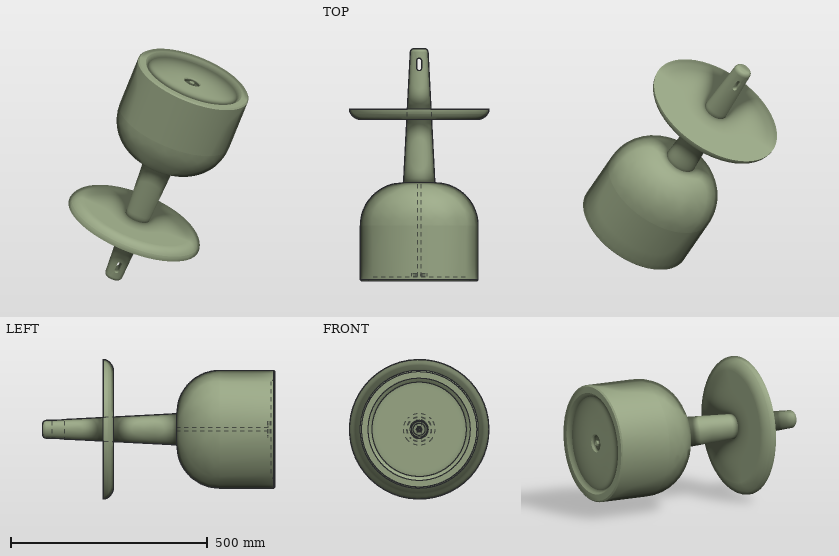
import cadquery as cq
import math

TOTAL_LENGTH = 591.0

BELL_RADIUS = 150.0
BELL_LENGTH = 250.0
BELL_SHOULDER_RADIUS = 110.0
BELL_RIM_CHAMFER = 3.5
RECESS_MOUTH_RADIUS = 130.0
RECESS_DEPTH = 10.0
POCKET_RADIUS = 20.0
POCKET_CHAMFER = 3.0
POCKET_DEPTH = 9.5

HANDLE_ROOT_RADIUS = BELL_RADIUS - BELL_SHOULDER_RADIUS
HANDLE_TIP_RADIUS = 22.5
HANDLE_TIP_FILLET = 10.0
SLOT_WIDTH = 12.0
SLOT_LENGTH = 31.5
SLOT_FROM_TIP = 40.0
STUD_RADIUS = 4.0
STUD_END_CHAMFER = 1.5

DISC_FRONT = 410.0
DISC_THICKNESS = 26.5
DISC_DIAMETER = 355.0
DISC_FACE_RADIUS = 146.0
DISC_SEAM_RADIUS = 174.0
DISC_SEAM_HEIGHT = 14.0

WASHER_RADIUS = 15.5
WASHER_THICKNESS = 2.0
NUT_ACROSS_FLATS = 13.0
NUT_HEIGHT = 7.0
NUT_CORNER_CHAMFER = 1.5

RECESS_FLOOR = RECESS_DEPTH
POCKET_FLOOR = RECESS_FLOOR + POCKET_DEPTH
WASHER_FACE = POCKET_FLOOR - WASHER_THICKNESS
NUT_FACE = WASHER_FACE - NUT_HEIGHT


def revolve_about_y(profile):
    return profile.close().revolve(360, (0, 0, 0), (0, 1, 0))


def cylinder_along_y(radius, start, end):
    """Cylinder on the Y axis between two Y positions."""
    return cq.Workplane("XZ", origin=(0, start, 0)).circle(radius).extrude(start - end)


def handle_cone():
    """Tapered handle from the bell to its sharp-edged tip."""
    return revolve_about_y(
        cq.Workplane("XY")
        .moveTo(0, BELL_LENGTH)
        .lineTo(HANDLE_ROOT_RADIUS, BELL_LENGTH)
        .lineTo(HANDLE_TIP_RADIUS, TOTAL_LENGTH)
        .lineTo(0, TOTAL_LENGTH)
    )


def make_bell():
    """Domed bell with a sloped recess, a fastener pocket and a stud hole."""
    shoulder_y = BELL_LENGTH - BELL_SHOULDER_RADIUS
    shoulder_offset = BELL_SHOULDER_RADIUS * math.sqrt(0.5)
    shoulder_middle = (HANDLE_ROOT_RADIUS + shoulder_offset, shoulder_y + shoulder_offset)
    return revolve_about_y(
        cq.Workplane("XY")
        .moveTo(STUD_RADIUS, BELL_LENGTH)
        .lineTo(HANDLE_ROOT_RADIUS, BELL_LENGTH)
        .threePointArc(shoulder_middle, (BELL_RADIUS, shoulder_y))
        .lineTo(BELL_RADIUS, BELL_RIM_CHAMFER)
        .lineTo(BELL_RADIUS - BELL_RIM_CHAMFER, 0)
        .lineTo(RECESS_MOUTH_RADIUS, 0)
        .lineTo(RECESS_MOUTH_RADIUS - RECESS_DEPTH, RECESS_FLOOR)
        .lineTo(POCKET_RADIUS + POCKET_CHAMFER, RECESS_FLOOR)
        .lineTo(POCKET_RADIUS, RECESS_FLOOR + POCKET_CHAMFER)
        .lineTo(POCKET_RADIUS, POCKET_FLOOR)
        .lineTo(STUD_RADIUS, POCKET_FLOOR)
    )


def make_handle():
    """Tapered handle with a rounded tip, a hanging slot and a stud through the bell."""
    handle = handle_cone().faces(">Y").edges().fillet(HANDLE_TIP_FILLET)
    slot = (
        cq.Workplane("XY")
        .center(0, TOTAL_LENGTH - SLOT_FROM_TIP)
        .slot2D(SLOT_LENGTH, SLOT_WIDTH, 90)
        .extrude(HANDLE_ROOT_RADIUS, both=True)
    )
    stud = cylinder_along_y(STUD_RADIUS, NUT_FACE, BELL_LENGTH).faces("<Y").edges().chamfer(STUD_END_CHAMFER)
    return handle.cut(slot).union(stud)


def make_disc():
    """Guard disc with a rounded front rim and a tapered hole that fits the handle."""
    back = DISC_FRONT + DISC_THICKNESS
    seam_y = DISC_FRONT + DISC_SEAM_HEIGHT
    disc = revolve_about_y(
        cq.Workplane("XY")
        .moveTo(0, DISC_FRONT)
        .lineTo(DISC_FACE_RADIUS, DISC_FRONT)
        .tangentArcPoint((DISC_SEAM_RADIUS, seam_y), relative=False)
        .tangentArcPoint((DISC_DIAMETER / 2, back), relative=False)
        .lineTo(0, back)
    )
    return disc.cut(handle_cone())


def make_washer():
    """Flat washer on the pocket floor."""
    washer = cylinder_along_y(WASHER_RADIUS, WASHER_FACE, POCKET_FLOOR)
    return washer.cut(cylinder_along_y(STUD_RADIUS, WASHER_FACE, POCKET_FLOOR))


def make_nut():
    """Hexagon nut with corners toward +X and -X, flush with the stud end."""
    across_corners = NUT_ACROSS_FLATS / math.cos(math.pi / 6)
    hexagon = (
        cq.Workplane("XZ", origin=(0, NUT_FACE, 0))
        .polygon(6, across_corners)
        .circle(STUD_RADIUS)
        .extrude(-NUT_HEIGHT)
    )
    envelope = cylinder_along_y(across_corners / 2, NUT_FACE, WASHER_FACE)
    envelope = envelope.faces("<Y").edges().chamfer(NUT_CORNER_CHAMFER)
    return hexagon.intersect(envelope)


bell = make_bell()
handle = make_handle()
disc = make_disc()
washer = make_washer()
nut = make_nut()

result = cq.Compound.makeCompound([bell.val(), handle.val(), disc.val(), washer.val(), nut.val()])